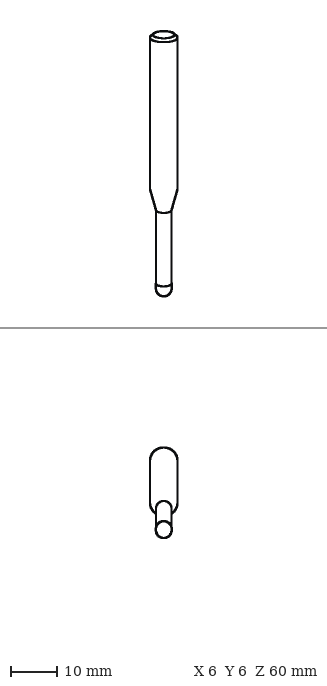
import cadquery as cq

TOTAL_LENGTH = 60.0
SHANK_RADIUS = 3.0
END_CHAMFER = 0.65

TAPER_TOP = -5.45
TAPER_BOTTOM = -10.15
NECK_TOP = -10.3
NECK_RADIUS = 1.7

HEAD_RADIUS = 1.75
HEAD_LENGTH = 2.8

TOP = TOTAL_LENGTH / 2
TIP = -TOTAL_LENGTH / 2
HEAD_TOP = TIP + HEAD_LENGTH
BALL_EQUATOR = TIP + HEAD_RADIUS


def revolve_about_z(profile):
    """Turn a closed radius-height profile into a solid around the Z axis."""
    return profile.close().revolve(360, (0, 0, 0), (0, 1, 0))


def make_holder():
    """Chamfered shank, long taper to the head radius, small step and slim neck."""
    profile = (
        cq.Workplane("XZ")
        .moveTo(0, HEAD_TOP)
        .lineTo(NECK_RADIUS, HEAD_TOP)
        .lineTo(NECK_RADIUS, NECK_TOP)
        .lineTo(HEAD_RADIUS, TAPER_BOTTOM)
        .lineTo(SHANK_RADIUS, TAPER_TOP)
        .lineTo(SHANK_RADIUS, TOP - END_CHAMFER)
        .lineTo(SHANK_RADIUS - END_CHAMFER, TOP)
        .lineTo(0, TOP)
    )
    return revolve_about_z(profile)


def make_cutting_head():
    """Short cylinder ending in a hemispherical tip, seated on the neck's end face."""
    profile = (
        cq.Workplane("XZ")
        .moveTo(0, TIP)
        .radiusArc((HEAD_RADIUS, BALL_EQUATOR), -HEAD_RADIUS)
        .lineTo(HEAD_RADIUS, HEAD_TOP)
        .lineTo(0, HEAD_TOP)
    )
    return revolve_about_z(profile)


holder = make_holder()
cutting_head = make_cutting_head()

result = cq.Compound.makeCompound([holder.val(), cutting_head.val()])